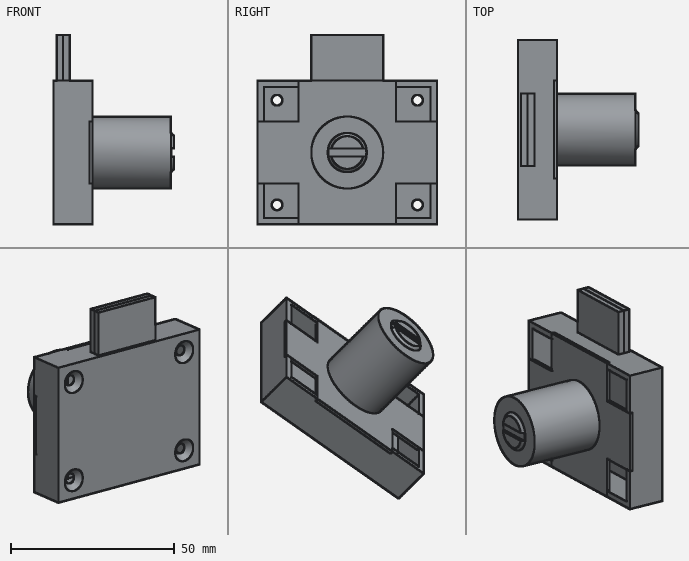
import cadquery as cq


CASE_DEPTH = 12.0
CASE_WIDTH = 55.0
CASE_HEIGHT = 44.0
CASE_WALL = 2.0

SCREW_SPACING_Y = 43.0
SCREW_SPACING_Z = 32.0
SCREW_HOLE_DIAMETER = 3.2
COUNTERSINK_DIAMETER = 7.0
COUNTERSINK_ANGLE = 90

BOLT_WIDTH = 22.15
BOLT_PROJECTION = 14.0
BOLT_SETBACK = 1.0
BACK_PLATE_THICKNESS = 2.0
FRONT_PLATE_THICKNESS = 2.1

BARREL_DIAMETER = 22.05
BARREL_LENGTH = 24.0
FLANGE_THICKNESS = 1.0
FLANGE_UPRIGHT_WIDTH = 30.0
FLANGE_CROSSBAR_HEIGHT = 19.0

PLUG_BASE_DIAMETER = 12.0
PLUG_PROJECTION = 1.0
PLUG_TAPER_ANGLE = 45
PLUG_SLOT_WIDTH = 2.55
PLUG_SLOT_DEPTH = 0.8

CASE_TOP = CASE_HEIGHT / 2
FLANGE_BACK = CASE_DEPTH - FLANGE_THICKNESS
BARREL_END = CASE_DEPTH + BARREL_LENGTH
PLUG_END = BARREL_END + PLUG_PROJECTION


def block(x_start, depth, width, height):
    """Box centred on the lock axis, reaching from x_start towards +X."""
    return cq.Workplane("YZ", origin=(x_start, 0, 0)).rect(width, height).extrude(depth)


def make_flange():
    """Cross whose arms reach all four sides of the case and pass between the screw holes."""
    upright = block(FLANGE_BACK, FLANGE_THICKNESS, FLANGE_UPRIGHT_WIDTH, CASE_HEIGHT)
    crossbar = block(FLANGE_BACK, FLANGE_THICKNESS, CASE_WIDTH, FLANGE_CROSSBAR_HEIGHT)
    return upright.union(crossbar)


def make_case():
    """Tray with countersunk holes in its floor and notches in its rim for the flange arms."""
    case = block(0, CASE_DEPTH, CASE_WIDTH, CASE_HEIGHT)
    cavity = block(
        CASE_WALL,
        CASE_DEPTH - CASE_WALL,
        CASE_WIDTH - 2 * CASE_WALL,
        CASE_HEIGHT - 2 * CASE_WALL,
    )
    case = (
        case.faces("<X")
        .workplane(centerOption="CenterOfBoundBox")
        .rect(SCREW_SPACING_Y, SCREW_SPACING_Z, forConstruction=True)
        .vertices()
        .cskHole(SCREW_HOLE_DIAMETER, COUNTERSINK_DIAMETER, COUNTERSINK_ANGLE)
    )
    return case.cut(cavity).cut(make_flange())


def make_barrel():
    """Barrel in one piece with its flange."""
    cylinder = (
        cq.Workplane("YZ", origin=(CASE_DEPTH, 0, 0))
        .circle(BARREL_DIAMETER / 2)
        .extrude(BARREL_LENGTH)
    )
    return make_flange().union(cylinder)


def make_plug():
    """Cone frustum on the end of the barrel, with a straight slot along Y."""
    plug = (
        cq.Workplane("YZ", origin=(BARREL_END, 0, 0))
        .circle(PLUG_BASE_DIAMETER / 2)
        .extrude(PLUG_PROJECTION, taper=PLUG_TAPER_ANGLE)
    )
    slot = block(PLUG_END - PLUG_SLOT_DEPTH, PLUG_SLOT_DEPTH, PLUG_BASE_DIAMETER, PLUG_SLOT_WIDTH)
    return plug.cut(slot)


def make_bolt_plate(x_start, thickness):
    """Flat bolt plate standing on top of the case."""
    plate = block(x_start, thickness, BOLT_WIDTH, BOLT_PROJECTION)
    return plate.translate((0, 0, CASE_TOP + BOLT_PROJECTION / 2))


case = make_case()
barrel = make_barrel()
plug = make_plug()
bolt_back_plate = make_bolt_plate(BOLT_SETBACK, BACK_PLATE_THICKNESS)
bolt_front_plate = make_bolt_plate(BOLT_SETBACK + BACK_PLATE_THICKNESS, FRONT_PLATE_THICKNESS)

result = cq.Compound.makeCompound(
    [case.val(), barrel.val(), plug.val(), bolt_back_plate.val(), bolt_front_plate.val()]
)